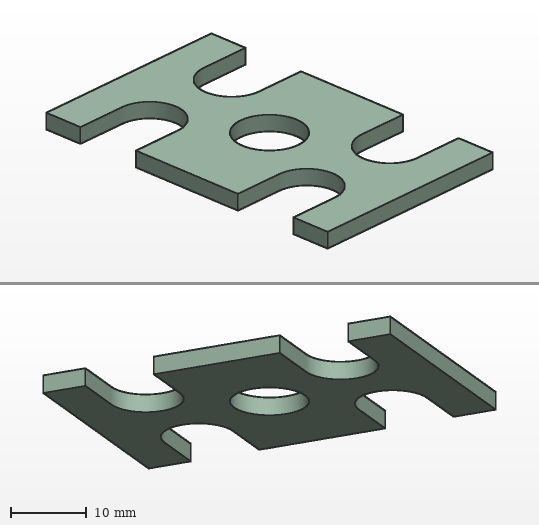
import cadquery as cq

length = 50.8
width = 31.75
thickness = 2.5
hole_diameter = 10.4

slot_width = 10.0
slot_offset = 14.2
left_slot_depth = 13.0
right_slot_depth = 12.9


def slot_cutter(x, side, depth):
    """Cutter entering from the +Y (side=1) or -Y (side=-1) edge."""
    radius = slot_width / 2
    edge_y = side * width / 2
    arc_start_y = side * (width / 2 - depth + radius)
    tip_y = side * (width / 2 - depth)
    return (
        cq.Workplane("XY")
        .moveTo(x - radius, edge_y)
        .lineTo(x - radius, arc_start_y)
        .threePointArc((x, tip_y), (x + radius, arc_start_y))
        .lineTo(x + radius, edge_y)
        .close()
        .extrude(thickness)
    )


plate = cq.Workplane("XY").box(length, width, thickness, centered=(True, True, False))
plate = plate.faces(">Z").workplane().hole(hole_diameter)

for side in (1, -1):
    plate = plate.cut(slot_cutter(-slot_offset, side, left_slot_depth))
    plate = plate.cut(slot_cutter(slot_offset, side, right_slot_depth))

result = plate